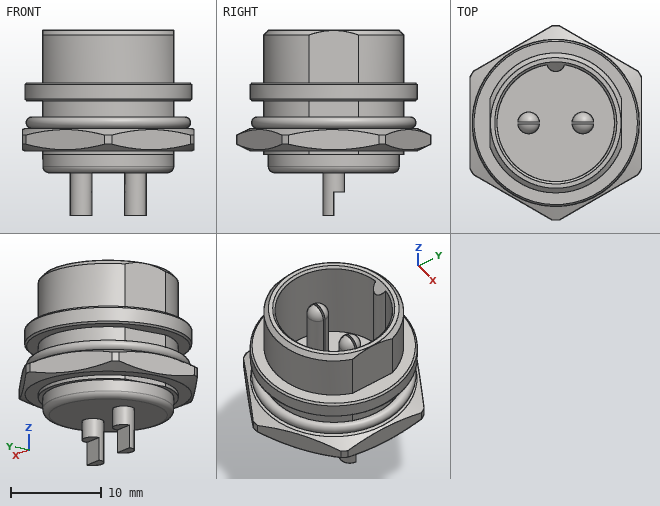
import cadquery as cq
import math


shell_radius = 7.75
flat_width = 14.5
shell_bottom = 2.0
shell_top = 15.75
rim_chamfer = 0.52

flange_radius = 9.25
flange_bottom = 7.95
flange_height = 2.0
flange_chamfer = 0.22

base_radius = flat_width / 2
base_fillet = 0.7

socket_radius = 6.5
socket_depth = 10.0
socket_floor = shell_top - socket_depth
mouth_chamfer = 0.25
key_radius = 0.99
key_center = 6.66

pin_radius = 1.2
pin_spacing = 6.0
pin_top = 13.74
pin_slot_width = 0.22
short_half_length = 2.13
long_half_length = 4.73

nut_width = 19.0
nut_corner_radius = 10.75
nut_face_radius = 9.2
nut_bottom = 2.4
nut_height = 2.52
nut_chamfer_height = 0.75
nut_top = nut_bottom + nut_height

ring_section_radius = 0.62
ring_outer_radius = 9.1


def disc(radius, bottom, top):
    return cq.Workplane("XY").workplane(offset=bottom).circle(radius).extrude(top - bottom)


def make_shell_outside():
    shell = disc(shell_radius, shell_bottom, shell_top).faces(">Z").chamfer(rim_chamfer)
    flats = cq.Workplane("XY").box(flat_width, 2 * shell_radius, shell_top, centered=(True, True, False))
    flange_top = flange_bottom + flange_height
    flange = disc(flange_radius, flange_bottom, flange_top).edges().chamfer(flange_chamfer)
    base = disc(base_radius, 0, shell_bottom).faces("<Z").edges().fillet(base_fillet)
    return shell.intersect(flats).union(flange).union(base)


def make_socket():
    """Space inside the shell; the 45 degree mouth cone also slopes the top of the key."""
    key = disc(key_radius, socket_floor, shell_top).translate((0, key_center, 0))
    bore = disc(socket_radius, socket_floor, shell_top).cut(key)
    mouth_radius = socket_radius + mouth_chamfer
    mouth = cq.Workplane("XZ").polyline(
        [(0, shell_top), (mouth_radius, shell_top), (0, shell_top - mouth_radius)]
    ).close().revolve(360, (0, 0), (0, 1))
    return bore.union(mouth.intersect(disc(mouth_radius, socket_floor, shell_top)))


def make_pin(x):
    """Domed pin, slotted above the socket floor, with a stepped half-round tail."""
    dome_base = pin_top - pin_radius
    dome = cq.Workplane("XY").sphere(pin_radius).translate((0, 0, dome_base))
    pin = disc(pin_radius, -long_half_length, dome_base).union(dome)
    slot = cq.Workplane("XY").box(
        2 * pin_radius, pin_slot_width, pin_top - socket_floor, centered=(True, True, False)
    ).translate((0, 0, socket_floor))
    tail_step = cq.Workplane("XY").box(
        2 * pin_radius, pin_radius, long_half_length - short_half_length, centered=(True, False, False)
    ).translate((0, 0, -long_half_length))
    return pin.cut(slot).cut(tail_step).translate((x, 0, 0))


def make_connector():
    connector = make_shell_outside().cut(make_socket())
    for side in (-1, 1):
        connector = connector.union(make_pin(side * pin_spacing / 2))
    return connector


def make_nut():
    corner_diameter = nut_width / math.cos(math.pi / 6)
    hexagon = (
        cq.Workplane("XY").workplane(offset=nut_bottom)
        .polygon(6, corner_diameter).extrude(nut_height)
        .rotate((0, 0, 0), (0, 0, 1), 30)
    )
    turned_profile = [
        (shell_radius, nut_bottom),
        (nut_face_radius, nut_bottom),
        (nut_corner_radius, nut_bottom + nut_chamfer_height),
        (nut_corner_radius, nut_top - nut_chamfer_height),
        (nut_face_radius, nut_top),
        (shell_radius, nut_top),
    ]
    turned = cq.Workplane("XZ").polyline(turned_profile).close().revolve(360, (0, 0), (0, 1))
    return hexagon.intersect(turned)


def make_ring():
    center_radius = ring_outer_radius - ring_section_radius
    center = cq.Vector(0, 0, nut_top + ring_section_radius)
    return cq.Solid.makeTorus(center_radius, ring_section_radius, center)


connector = make_connector()
nut = make_nut()
ring = make_ring()

result = cq.Compound.makeCompound([connector.val(), nut.val(), ring])